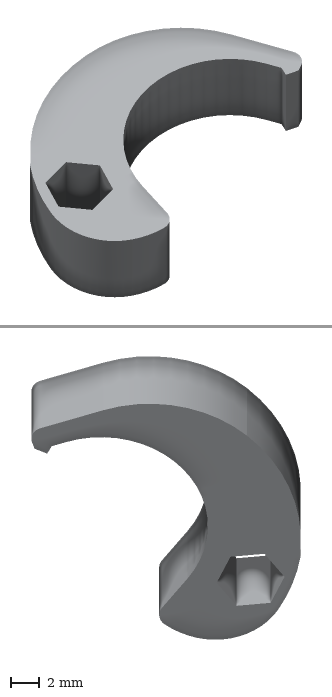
import cadquery as cq
import math

length = 21.0
width = 15.75
thickness = 6.0

upper_center = (10.18, 11.02)
upper_radius = length - upper_center[1]
back_start = math.radians(152)
back_radius = (upper_center[0] + upper_radius * math.cos(back_start)) / (1 + math.cos(back_start))
back_center = (
    back_radius,
    upper_center[1] - (back_radius - upper_radius) * math.sin(back_start),
)
lower_radius = 12.73
back_end_y = 5.56
facet_y = 5.19
lower_start_y = 4.87

bottom_radius = 5.08
bottom_center = (7.4, bottom_radius)
lower_end = math.radians(229)
lower_center = (
    bottom_center[0] - (lower_radius - bottom_radius) * math.cos(lower_end),
    bottom_center[1] - (lower_radius - bottom_radius) * math.sin(lower_end),
)

toe_start = math.radians(304)
toe_radius = 6.1
toe_center = (
    bottom_center[0] - (toe_radius - bottom_radius) * math.cos(toe_start),
    bottom_center[1] - (toe_radius - bottom_radius) * math.sin(toe_start),
)

mouth_center = (13.48, 11.86)
mouth_radius = 7.45
ramp_angle = 35.0
ramp_tip_radius = 1.0

barb_start_x = 14.55
barb_point = (15.05, 18.84)
barb_end_y = 19.5
upper_tip_radius = 0.95

hex_center = (5.08, 4.22)
hex_diameter = 4.77
hex_angle = 13.0


def on_circle(center, radius, angle):
    """Point at an angle in radians on a circle."""
    return (center[0] + radius * math.cos(angle), center[1] + radius * math.sin(angle))


def left_side_angle(center, radius, y):
    """Angle of the point at height y on the left half of a circle."""
    return math.pi - math.asin((y - center[1]) / radius)


def add_arc(sketch, center, radius, start_angle, end_angle):
    """Continue an outline along a circle."""
    middle = on_circle(center, radius, (start_angle + end_angle) / 2)
    return sketch.threePointArc(middle, on_circle(center, radius, end_angle))


def ramp_end_angle(ramp_start, slope):
    """Angle on the toe circle where the descending ramp meets it."""
    dx = toe_center[0] - ramp_start[0]
    dy = toe_center[1] - ramp_start[1]
    offset = -dx * math.sin(slope) - dy * math.cos(slope)
    return math.asin(offset / toe_radius) - slope


def make_hook():
    slope = math.radians(ramp_angle)
    mouth_end = 1.5 * math.pi - slope
    ramp_start = on_circle(mouth_center, mouth_radius, mouth_end)
    ramp_end = ramp_end_angle(ramp_start, slope)
    back_end = left_side_angle(back_center, back_radius, back_end_y)
    facet = left_side_angle(back_center, back_radius, facet_y)
    lower_start = left_side_angle(lower_center, lower_radius, lower_start_y)

    outline = cq.Workplane("XY").moveTo(width, length).lineTo(upper_center[0], length)
    outline = add_arc(outline, upper_center, upper_radius, math.pi / 2, back_start)
    outline = add_arc(outline, back_center, back_radius, back_start, back_end)
    outline = outline.lineTo(*on_circle(back_center, back_radius, facet))
    outline = outline.lineTo(*on_circle(lower_center, lower_radius, lower_start))
    outline = add_arc(outline, lower_center, lower_radius, lower_start, lower_end)
    outline = add_arc(outline, bottom_center, bottom_radius, lower_end, toe_start)
    outline = add_arc(outline, toe_center, toe_radius, toe_start, ramp_end + math.tau)
    outline = outline.lineTo(*ramp_start)
    outline = add_arc(outline, mouth_center, mouth_radius, mouth_end, math.pi / 2)
    outline = (
        outline.lineTo(barb_start_x, mouth_center[1] + mouth_radius)
        .lineTo(*barb_point)
        .lineTo(width, barb_end_y)
        .close()
    )
    hook = outline.extrude(thickness)

    ramp_tip = on_circle(toe_center, toe_radius, ramp_end)
    for corner, radius in [(ramp_tip, ramp_tip_radius), ((width, length), upper_tip_radius)]:
        edge = cq.selectors.NearestToPointSelector((*corner, thickness / 2))
        hook = hook.edges("|Z").edges(edge).fillet(radius)
    return hook


def make_hex_hole():
    hexagon = cq.Workplane("XY").polygon(6, hex_diameter).extrude(thickness)
    return hexagon.rotate((0, 0, 0), (0, 0, 1), hex_angle).translate((*hex_center, 0))


result = make_hook().cut(make_hex_hole())